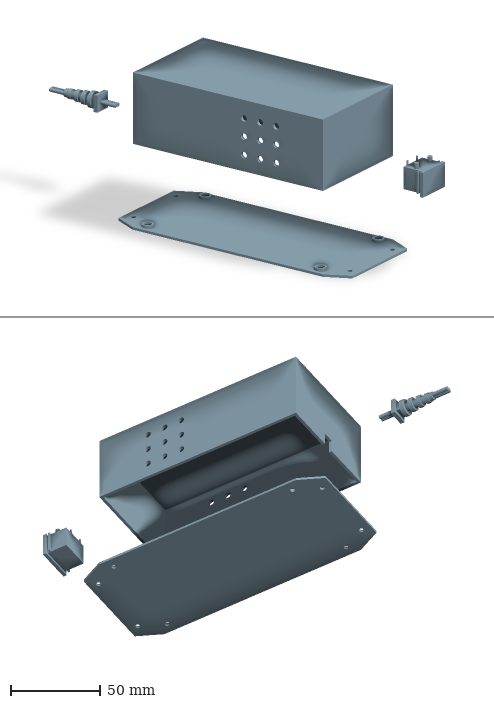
import cadquery as cq

ASSEMBLY_LENGTH = 262.0
ASSEMBLY_HEIGHT = 94.0
CABLE_START_X = -145.0

HOUSING_LENGTH = 130.2
HOUSING_WIDTH = 68.0
HOUSING_HEIGHT = 42.7
HOUSING_BOTTOM = ASSEMBLY_HEIGHT - HOUSING_HEIGHT
WALL = 1.8

VENT_DIAMETER = 4.0
VENT_PITCH = 11.0
VENTS_PER_SIDE = 3
VENT_CENTRE_X = 22.0
VENT_CENTRE_Z = HOUSING_BOTTOM + 20.7

PLATE_LENGTH = 160.0
PLATE_END_WIDTH = 53.5
PLATE_THICKNESS = 1.5
MOUNTING_HOLE_DIAMETER = 3.0
MOUNTING_HOLE_SPACING_X = 148.3
MOUNTING_HOLE_SPACING_Y = 41.1

BOSS_DIAMETER = 7.0
BOSS_BORE = 5.0
BOSS_SCREW_HOLE = 3.0
BOSS_HEIGHT = 1.5
BOSS_SPACING_X = 118.5
BOSS_SPACING_Y = 56.0

SEGMENT_LENGTH = 2.52
SLEEVE_DIAMETER = 5.0
RIB_DIAMETERS = [6.0, 7.0, 8.0, 10.0]
COLLAR_SIZE = 10.2
COLLAR_NECK_WIDTH = 7.0
COLLAR_NECK_HEIGHT = 5.5
WIRE_DIAMETER = 2.4
WIRE_SPACING = 2.0
CABLE_OUTER_LENGTH = 10.0
CABLE_INNER_LENGTH = 10.0
RELIEF_CENTRE_Z = HOUSING_BOTTOM + COLLAR_SIZE / 2

CONNECTOR_LENGTH = 14.5
CONNECTOR_END_X = CABLE_START_X + ASSEMBLY_LENGTH
CONNECTOR_START_X = CONNECTOR_END_X - CONNECTOR_LENGTH
BODY_WIDTH = 18.0
BODY_HEIGHT = 13.4
FLANGE_WIDTH = 21.5
FLANGE_HEIGHT = 15.0
FLANGE_THICKNESS = 2.0
SNAP_THICKNESS = 0.8
SNAP_GAP = 1.3
CONNECTOR_TOP = HOUSING_BOTTOM + FLANGE_HEIGHT
BODY_BOTTOM = CONNECTOR_TOP - BODY_HEIGHT

TERMINAL_HEIGHT = 3.1
LARGE_TERMINAL_DIAMETER = 3.0
LARGE_TERMINAL_X = 7.0
LARGE_TERMINAL_YS = [-6.5, 6.5]
SMALL_TERMINAL_DIAMETER = 1.2
SMALL_TERMINAL_X = 0.8
SMALL_TERMINAL_YS = [-6.3, 3.0]


def x_slab(start_x, end_x, width, bottom, top):
    """A block between two X positions and two heights, centred on Y = 0."""
    slab = cq.Workplane("XY", origin=(start_x, 0, bottom))
    return slab.box(end_x - start_x, width, top - bottom, centered=(False, True, False))


def cylinder_grid(diameter, spacing_x, spacing_y, bottom, height):
    """Four upright cylinders in a rectangle around the Z axis."""
    grid = cq.Workplane("XY", origin=(0, 0, bottom)).rarray(spacing_x, spacing_y, 2, 2)
    return grid.circle(diameter / 2).extrude(height)


def make_plate():
    half_length = PLATE_LENGTH / 2
    half_end = PLATE_END_WIDTH / 2
    shoulder_x = HOUSING_LENGTH / 2
    shoulder_y = HOUSING_WIDTH / 2
    outline = [
        (-half_length, -half_end),
        (-shoulder_x, -shoulder_y),
        (shoulder_x, -shoulder_y),
        (half_length, -half_end),
        (half_length, half_end),
        (shoulder_x, shoulder_y),
        (-shoulder_x, shoulder_y),
        (-half_length, half_end),
    ]
    plate = cq.Workplane("XY").polyline(outline).close().extrude(PLATE_THICKNESS)
    boss_places = (BOSS_SPACING_X, BOSS_SPACING_Y, PLATE_THICKNESS, BOSS_HEIGHT)
    bosses = cylinder_grid(BOSS_DIAMETER, *boss_places)
    bores = cylinder_grid(BOSS_BORE, *boss_places)
    screw_holes = cylinder_grid(
        BOSS_SCREW_HOLE, BOSS_SPACING_X, BOSS_SPACING_Y, 0, PLATE_THICKNESS
    )
    mounting_holes = cylinder_grid(
        MOUNTING_HOLE_DIAMETER,
        MOUNTING_HOLE_SPACING_X,
        MOUNTING_HOLE_SPACING_Y,
        0,
        PLATE_THICKNESS,
    )
    return plate.union(bosses).cut(bores).cut(screw_holes).cut(mounting_holes)


def make_housing():
    end_x = HOUSING_LENGTH / 2
    shell = x_slab(-end_x, end_x, HOUSING_WIDTH, HOUSING_BOTTOM, ASSEMBLY_HEIGHT)
    shell = shell.faces("<Z").shell(-WALL)
    vents = (
        cq.Workplane("XZ", origin=(VENT_CENTRE_X, 0, VENT_CENTRE_Z))
        .rarray(VENT_PITCH, VENT_PITCH, VENTS_PER_SIDE, VENTS_PER_SIDE)
        .circle(VENT_DIAMETER / 2)
        .extrude(HOUSING_WIDTH, both=True)
    )
    notch_top = RELIEF_CENTRE_Z + COLLAR_NECK_HEIGHT / 2
    notch = x_slab(-end_x, -end_x + WALL, COLLAR_NECK_WIDTH, HOUSING_BOTTOM, notch_top)
    return shell.cut(vents).cut(notch)


def relief_rod(start_x, length, diameter, y=0.0):
    """A round rod along X at the height of the strain relief."""
    rod = cq.Workplane("YZ", origin=(start_x, y, RELIEF_CENTRE_Z))
    return rod.circle(diameter / 2).extrude(length)


def relief_block(start_x, width, height):
    """A rectangular block, one segment long, on the strain relief's axis."""
    block = cq.Workplane("YZ", origin=(start_x, 0, RELIEF_CENTRE_Z))
    return block.rect(width, height).extrude(SEGMENT_LENGTH)


def make_strain_relief():
    sleeve_start = CABLE_START_X + CABLE_OUTER_LENGTH
    sleeve_length = 2 * len(RIB_DIAMETERS) * SEGMENT_LENGTH
    relief = relief_rod(sleeve_start, sleeve_length, SLEEVE_DIAMETER)
    for index, rib_diameter in enumerate(RIB_DIAMETERS):
        rib_start = sleeve_start + (2 * index + 1) * SEGMENT_LENGTH
        relief = relief.union(relief_rod(rib_start, SEGMENT_LENGTH, rib_diameter))

    neck_start = sleeve_start + sleeve_length
    collar_start = neck_start + SEGMENT_LENGTH
    relief = relief.union(relief_block(neck_start, COLLAR_NECK_WIDTH, COLLAR_NECK_HEIGHT))
    relief = relief.union(relief_block(collar_start, COLLAR_SIZE, COLLAR_SIZE))

    cable_end = collar_start + SEGMENT_LENGTH + CABLE_INNER_LENGTH
    for wire_y in (-WIRE_SPACING / 2, WIRE_SPACING / 2):
        wire = relief_rod(CABLE_START_X, cable_end - CABLE_START_X, WIRE_DIAMETER, wire_y)
        relief = relief.union(wire)
    return relief


def terminal_pair(x, ys, diameter):
    """Two round terminals standing on the connector's top."""
    pair = cq.Workplane("XY", origin=(CONNECTOR_START_X + x, 0, CONNECTOR_TOP))
    return pair.pushPoints([(0, y) for y in ys]).circle(diameter / 2).extrude(TERMINAL_HEIGHT)


def make_connector():
    flange_start = CONNECTOR_END_X - FLANGE_THICKNESS
    snap_end = flange_start - SNAP_GAP
    snap_start = snap_end - SNAP_THICKNESS
    body = x_slab(CONNECTOR_START_X, flange_start, BODY_WIDTH, BODY_BOTTOM, CONNECTOR_TOP)
    snap_plate = x_slab(snap_start, snap_end, FLANGE_WIDTH, BODY_BOTTOM, CONNECTOR_TOP)
    flange = x_slab(flange_start, CONNECTOR_END_X, FLANGE_WIDTH, HOUSING_BOTTOM, CONNECTOR_TOP)
    large_terminals = terminal_pair(LARGE_TERMINAL_X, LARGE_TERMINAL_YS, LARGE_TERMINAL_DIAMETER)
    small_terminals = terminal_pair(SMALL_TERMINAL_X, SMALL_TERMINAL_YS, SMALL_TERMINAL_DIAMETER)
    connector = body.union(snap_plate).union(flange)
    return connector.union(large_terminals).union(small_terminals)


plate = make_plate()
housing = make_housing()
strain_relief = make_strain_relief()
connector = make_connector()

bodies = [plate, housing, strain_relief, connector]
result = cq.Compound.makeCompound([body.solids().val() for body in bodies])